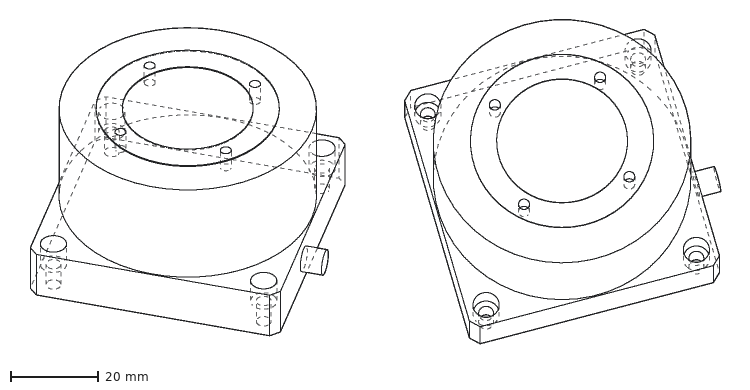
import cadquery as cq
import math

plate_side = 59.5
plate_height = 12.0
corner_chamfer = 2.0

mount_spacing = 50.0
mount_hole_diameter = 3.4
mount_bore_diameter = 6.0
mount_bore_depth = 6.0

total_height = 38.0
body_diameter = 59.0
ring_diameter = 42.0
ring_rise = 0.25
recess_diameter = 30.0
recess_depth = 0.25

ring_hole_spacing = 25.0
ring_hole_diameter = 2.5
ring_hole_depth = 5.0
drill_point_angle = 118

outlet_diameter = 6.0
outlet_length = 5.0
outlet_y = -7.75


def square_pattern(spacing, z):
    """Workplane at height z with a point at each corner of a square."""
    return cq.Workplane("XY").workplane(offset=z).rect(spacing, spacing, forConstruction=True).vertices()


def disc(diameter, bottom, top):
    """Solid disc on the Z axis between two heights."""
    return cq.Workplane("XY").workplane(offset=bottom).circle(diameter / 2).extrude(top - bottom)


def base_plate():
    plate = cq.Workplane("XY").rect(plate_side, plate_side).extrude(plate_height)
    return plate.edges("|Z").chamfer(corner_chamfer)


def mount_holes():
    through = square_pattern(mount_spacing, 0).circle(mount_hole_diameter / 2).extrude(plate_height)
    bore_floor = plate_height - mount_bore_depth
    bores = square_pattern(mount_spacing, bore_floor).circle(mount_bore_diameter / 2).extrude(mount_bore_depth)
    return through.union(bores)


def round_body():
    body_top = total_height - ring_rise
    body = disc(body_diameter, plate_height, body_top)
    ring = disc(ring_diameter, body_top, total_height)
    recess = disc(recess_diameter, total_height - recess_depth, total_height)
    return body.union(ring).cut(recess)


def ring_holes():
    """Drilled holes, each a cylinder ending in a conical drill point."""
    radius = ring_hole_diameter / 2
    floor = total_height - ring_hole_depth
    point_depth = radius / math.tan(math.radians(drill_point_angle / 2))
    drill = (
        cq.Workplane("XZ")
        .moveTo(0, floor - point_depth)
        .lineTo(radius, floor)
        .lineTo(radius, total_height)
        .lineTo(0, total_height)
        .close()
        .revolve(360, (0, 0, 0), (0, 1, 0))
        .val()
    )
    return square_pattern(ring_hole_spacing, 0).eachpoint(lambda place: drill.moved(place))


def cable_outlet():
    return (
        cq.Workplane("YZ", origin=(plate_side / 2, outlet_y, plate_height / 2))
        .circle(outlet_diameter / 2)
        .extrude(outlet_length)
    )


plate = base_plate().cut(mount_holes())
body = round_body().cut(ring_holes())
result = plate.union(body).union(cable_outlet())